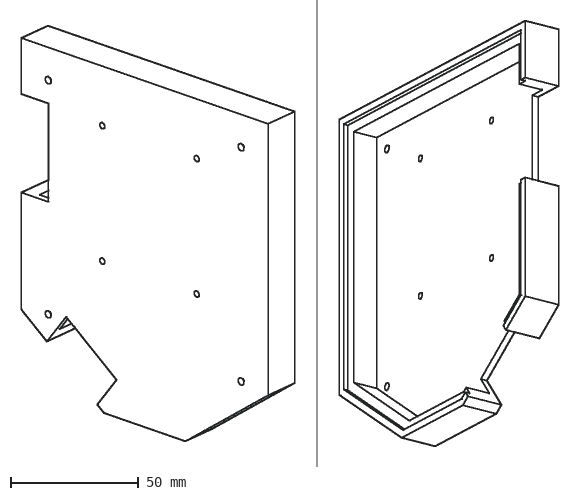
import cadquery as cq
import math

WIDTH = 128.0
DEPTH = 16.0
HEIGHT = 148.0
CORNER_X = 42.9
CORNER_Z = 32.0

PLATE_THICKNESS = 3.0
RIM_WIDTH = 7.0
LIP_WIDTH = 3.0
REBATE_DEPTH = 2.0

SIDE_NOTCH_DEPTH = 14.0
SIDE_NOTCH_HEIGHT = 42.0
SIDE_NOTCH_FROM_TOP = 24.0

SLOPE_NOTCH_DEPTH = 16.7
SLOPE_NOTCH_LENGTH = 32.5
SLOPE_NOTCH_START = 16.6

OUTER_HOLE_DIAMETER = 3.0
OUTER_HOLE_SPACING = 100.0
OUTER_HOLE_FROM_TOP = 14.0
INNER_HOLE_DIAMETER = 2.5
INNER_HOLE_SPACING_X = 49.0
INNER_HOLE_SPACING_Z = 57.9
INNER_HOLE_FROM_TOP = 25.5
INNER_HOLE_OFFSET_X = 2.5


def outline(y):
    """Rectangle with both lower corners cut off, centred in X, at depth y."""
    half = WIDTH / 2
    bottom_half = half - CORNER_X
    return cq.Workplane("XZ", origin=(0, y, 0)).polyline([
        (-half, HEIGHT),
        (half, HEIGHT),
        (half, CORNER_Z),
        (bottom_half, 0),
        (-bottom_half, 0),
        (-half, CORNER_Z),
    ]).close()


def inset_pocket(inset, floor_y):
    """Volume inside the outline, from floor_y to the open back."""
    return outline(DEPTH).offset2D(-inset, "intersection").extrude(DEPTH - floor_y)


def side_notch():
    top = HEIGHT - SIDE_NOTCH_FROM_TOP
    return cq.Workplane("XY").box(
        SIDE_NOTCH_DEPTH, DEPTH, SIDE_NOTCH_HEIGHT, centered=False
    ).translate((-WIDTH / 2, 0, top - SIDE_NOTCH_HEIGHT))


def slope_notch():
    """Box laid along the sloping edge, starting at the edge's upper end."""
    slope_angle = math.degrees(math.atan2(CORNER_Z, CORNER_X))
    box = cq.Workplane("XY").box(
        SLOPE_NOTCH_LENGTH, DEPTH, 2 * SLOPE_NOTCH_DEPTH, centered=(False, False, True)
    ).translate((SLOPE_NOTCH_START, 0, 0))
    return box.rotate((0, 0, 0), (0, 1, 0), slope_angle).translate((-WIDTH / 2, 0, CORNER_Z))


def hole_pattern(diameter, spacing_x, spacing_z, from_top):
    centre_z = HEIGHT - from_top - spacing_z / 2
    return (
        cq.Workplane("XZ", origin=(0, DEPTH, centre_z))
        .rarray(spacing_x, spacing_z, 2, 2)
        .circle(diameter / 2)
        .extrude(DEPTH)
    )


tray = outline(DEPTH).extrude(DEPTH)
tray = tray.cut(inset_pocket(RIM_WIDTH, PLATE_THICKNESS))
tray = tray.cut(inset_pocket(LIP_WIDTH, DEPTH - REBATE_DEPTH))
tray = tray.cut(side_notch()).cut(slope_notch())
tray = tray.cut(
    hole_pattern(OUTER_HOLE_DIAMETER, OUTER_HOLE_SPACING, OUTER_HOLE_SPACING, OUTER_HOLE_FROM_TOP)
)
inner_holes = hole_pattern(
    INNER_HOLE_DIAMETER, INNER_HOLE_SPACING_X, INNER_HOLE_SPACING_Z, INNER_HOLE_FROM_TOP
)
result = tray.cut(inner_holes.translate((INNER_HOLE_OFFSET_X, 0, 0)))